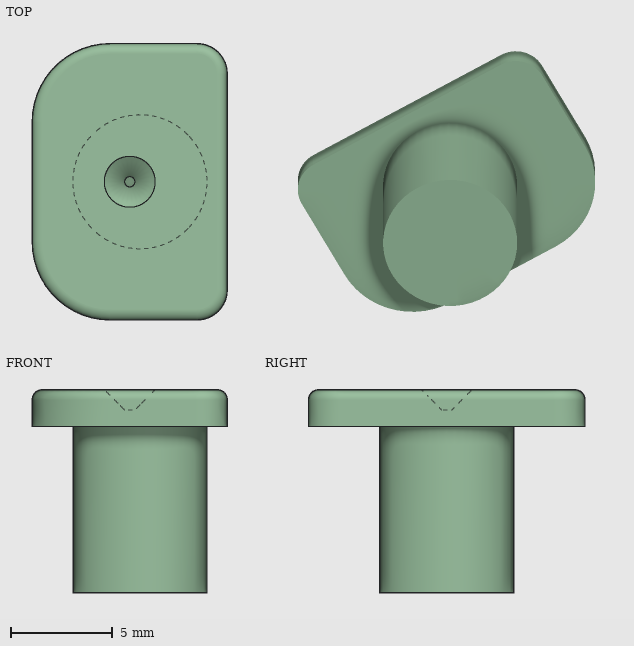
import cadquery as cq

head_width = 9.6
head_length = 13.6
head_thickness = 1.82
large_corner_radius = 3.85
small_corner_radius = 1.5
top_edge_radius = 0.5

total_height = 10.0
post_diameter = 6.6
post_offset = 0.5

recess_top_diameter = 2.5
recess_floor_diameter = 0.5
recess_depth = (recess_top_diameter - recess_floor_diameter) / 2

post_height = total_height - head_thickness


def make_head():
    """Plate with rounded corners and a rounded upper rim."""
    plate = cq.Workplane("XY").workplane(offset=post_height).rect(head_width, head_length)
    plate = plate.extrude(head_thickness)
    plate = plate.edges("|Z and <X").fillet(large_corner_radius)
    plate = plate.edges("|Z and >X").fillet(small_corner_radius)
    return plate.faces(">Z").edges().fillet(top_edge_radius)


def make_post():
    """Solid cylinder from the base up to the head."""
    return cq.Workplane("XY").center(post_offset, 0).circle(post_diameter / 2).extrude(post_height)


def make_recess():
    """Cone frustum that narrows downwards from the top face."""
    return (
        cq.Workplane("XY")
        .workplane(offset=total_height - recess_depth)
        .circle(recess_floor_diameter / 2)
        .workplane(offset=recess_depth)
        .circle(recess_top_diameter / 2)
        .loft()
    )


result = make_head().union(make_post()).cut(make_recess())